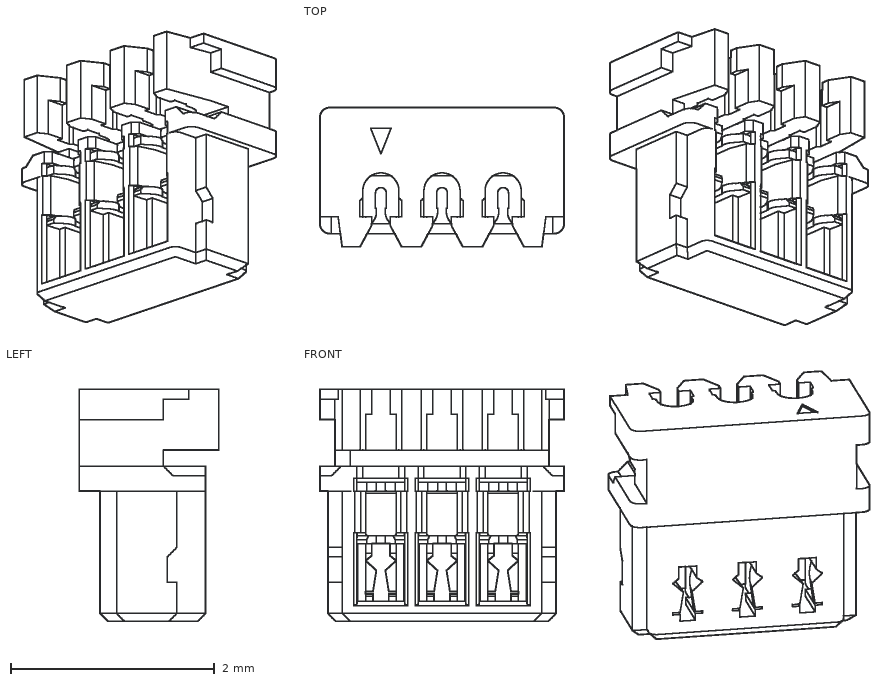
import cadquery as cq


length = 2.4
depth = 1.37
height = 2.28
port_pitch = 0.6
port_count = 3

chamfer_base = 0.077
flange_bottom = 1.277
flange_top = 1.525
prong_bottom = 1.68
ledge_bottom = 1.98
lip_bottom = 2.18

body_front = 0.13
body_back = 1.166
neck_front = 0.545
lip_front = 0.295

half_length = length / 2
neck_half = 1.05
body_half = 0.977
rib_half = 1.12

flange_radius = 0.1
body_radius = 0.08

rib_front = 0.413
rib_back = 1.003
notch_depth = 0.094
notch_bottom = 0.382
notch_slope_bottom = 0.63
notch_top = notch_slope_bottom + notch_depth

pocket_drop = 0.095
pocket_half = 0.99

gap_wall_edge = -0.9
gap_back = 0.792

prong_outer_tip = 0.982
slot_half = 0.178
slot_arc_centre = 0.55
tab_half = 0.206
tab_back = 0.454
throat_half = 0.09
throat_front = 0.21
prong_mouth_half = 0.205
relief_half = 0.15
relief_top = 2.033

window_half = 0.265
pocket_wall_half = 0.235
pocket_end_half = 0.225
pocket_end = 0.335
shelf_gap_end = 0.265
frame_back = 0.165
floor_front = 0.15
floor_level = 0.2
floor_slope_back = 0.225
window_top = 0.87
cavity_half = 0.15
channel_mouth_half = 0.255
channel_half = 0.197
channel_taper_back = 0.38
cavity_back = 0.698
root_radius = 0.02

lower_shelf = (0.763, 0.84)
upper_shelf = (flange_bottom, 1.365)
shelf_bevel = 0.038
shelf_bevel_run = 0.025
upper_pocket_top = 1.405
upper_pocket_back = 0.732
groove_depth = 0.015
shelf_slot_half = 0.053
shelf_slot_back = 0.583
shelf_slot_step = 0.38
shelf_neck_half = 0.043
shelf_neck_front = 0.343
shelf_flare_half = 0.072
shelf_flare_back = 0.257
shelf_mouth_half = 0.14

jamb_half = 0.09
jamb_bottom = 0.643
jamb_bevel_top = 0.667
fin_top = 0.595
fin_peak_half = 0.043
fin_peak = 0.5
fin_bottom = 0.29
fin_foot_half = 0.077
fin_bulge_across = 0.3
fin_bulge_along = 0.45
foot_top = 0.27
foot_face_top = 0.247
foot_overhang = 0.01

mark_half_width = 0.1
mark_base = 1.166
mark_tip = 0.915
mark_depth = 0.02


def block(x0, x1, y0, y1, z0, z1):
    return cq.Workplane("XY").box(x1 - x0, y1 - y0, z1 - z0, centered=False).translate((x0, y0, z0))


def wide_block(half, y0, y1, z0, z1):
    return block(-half, half, y0, y1, z0, z1)


def plan_prism(points, z0, z1):
    return cq.Workplane("XY").workplane(offset=z0).polyline(points).close().extrude(z1 - z0)


def mirrored_plan(right_side, z0, z1):
    """Prism of a plan outline given by its +X points and mirrored across X = 0."""
    left_side = [(-x, y) for x, y in reversed(right_side)]
    return plan_prism(right_side + left_side, z0, z1)


def side_prism(points, x0, x1):
    """Prism along X of an outline given as (Y, Z) points."""
    return cq.Workplane("YZ").workplane(offset=x0).polyline(points).close().extrude(x1 - x0)


def front_prism(points, y0, y1):
    """Prism along Y of an outline given as (X, Z) points."""
    return cq.Workplane("XZ").workplane(offset=-y1).polyline(points).close().extrude(y1 - y0)


def both_sides(shape):
    return shape.union(shape.mirror("YZ"))


def body():
    core = wide_block(body_half, body_front, body_back, 0, flange_bottom)
    core = core.edges("|Z").fillet(body_radius).faces("<Z").chamfer(chamfer_base)
    ribs = wide_block(rib_half, rib_front, rib_back, 0, flange_bottom).faces("<Z").chamfer(chamfer_base)
    notch = side_prism(
        [
            (rib_front, notch_bottom),
            (rib_front + notch_depth, notch_bottom),
            (rib_front + notch_depth, notch_slope_bottom),
            (rib_front, notch_top),
        ],
        body_half,
        rib_half,
    )
    return core.union(ribs.cut(both_sides(notch)))


def flange():
    plate = wide_block(half_length, body_front, depth, flange_bottom, flange_top)
    plate = plate.edges("|Z").fillet(flange_radius)
    pocket_floor = flange_top - pocket_drop
    across = [
        (pocket_half, flange_top),
        (pocket_half + pocket_drop, pocket_floor),
        (half_length, pocket_floor),
        (half_length, flange_top),
    ]
    along = [
        (body_front, flange_top),
        (body_front, pocket_floor),
        (neck_front - pocket_drop, pocket_floor),
        (neck_front, flange_top),
    ]
    pocket = front_prism(across, body_front, neck_front)
    pocket = pocket.intersect(side_prism(along, pocket_half, half_length))
    return plate.cut(both_sides(pocket))


def head():
    neck = wide_block(neck_half, neck_front, depth, flange_top, ledge_bottom)
    ledge = wide_block(half_length, neck_front, depth, ledge_bottom, height)
    ledge = ledge.edges("|Z and >Y").fillet(flange_radius)
    lip = wide_block(half_length, lip_front, neck_front, lip_bottom, height)
    prongs = mirrored_plan([(prong_outer_tip, 0), (neck_half, neck_front)], prong_bottom, height)
    gap = block(gap_wall_edge, neck_half, neck_front, gap_back, flange_top, prong_bottom)
    return neck.cut(gap).union(ledge).union(lip).union(prongs)


def arched_slot(half, y_front, y_centre, z0, z1):
    """Straight slot whose back end is a full round about y_centre."""
    straight = wide_block(half, y_front, y_centre, z0, z1)
    arch = cq.Workplane("XY").workplane(offset=z0).center(0, y_centre).circle(half).extrude(z1 - z0)
    return straight.union(arch)


def wire_slot():
    """Wire entry between two prongs, continued down through the flange."""
    slot = arched_slot(slot_half, lip_front, slot_arc_centre, prong_bottom, height)
    tab_bevel = tab_half - slot_half
    tabs = [(tab_half, lip_front), (tab_half, tab_back), (slot_half, tab_back + tab_bevel)]
    throat = [(prong_mouth_half, 0), (throat_half, throat_front), (throat_half, lip_front)]
    slot = slot.union(mirrored_plan(tabs, prong_bottom, height))
    slot = slot.union(mirrored_plan(throat, prong_bottom, height))
    slot = slot.union(wide_block(relief_half, 0, lip_front, prong_bottom, relief_top))

    entry_bevel = pocket_wall_half - slot_half
    entry = [(pocket_wall_half, body_front), (slot_half, body_front + entry_bevel)]
    slot = slot.union(mirrored_plan(entry, upper_pocket_top, flange_top))
    entry_back = body_front + entry_bevel
    return slot.union(arched_slot(slot_half, entry_back, slot_arc_centre, upper_pocket_top, flange_top))


def shelf_slot(z0, z1):
    """Slot through a shelf: round back, narrow neck and flared mouth."""
    back = arched_slot(shelf_slot_half, shelf_slot_step, shelf_slot_back - shelf_slot_half, z0, z1)
    flare_run = (shelf_mouth_half - shelf_flare_half, frame_back - shelf_flare_back)
    flare = (
        cq.Workplane("XY")
        .workplane(offset=z0)
        .moveTo(0, shelf_slot_step)
        .lineTo(shelf_neck_half, shelf_slot_step)
        .lineTo(shelf_neck_half, shelf_neck_front)
        .tangentArcPoint((shelf_flare_half, shelf_flare_back), relative=False)
        .line(*flare_run)
        .lineTo(0, frame_back)
        .close()
        .extrude(z1 - z0)
    )
    return back.union(both_sides(flare))


def shelf(levels, y_back):
    """Slotted shelf plate reaching from the frame back to y_back."""
    return wide_block(pocket_wall_half, frame_back, y_back, *levels).cut(shelf_slot(*levels))


def bevelled_lower_shelf():
    """Lower shelf with its front top edge bevelled."""
    top = lower_shelf[1]
    bevel = [(frame_back, top), (frame_back, top - shelf_bevel), (frame_back + shelf_bevel_run, top)]
    plate = shelf(lower_shelf, pocket_end)
    return plate.cut(side_prism(bevel, -pocket_wall_half, pocket_wall_half))


def upper_pocket():
    """Shallow pocket above the upper shelf, open at the front."""
    frame = [(window_half, body_front), (pocket_wall_half, frame_back)]
    pocket = mirrored_plan(frame, flange_bottom, upper_pocket_top)
    pocket = pocket.union(
        wide_block(pocket_wall_half, frame_back, cavity_back, flange_bottom, upper_pocket_top)
    )
    shelf_top = upper_shelf[1]
    rear = [
        (cavity_back, upper_pocket_top),
        (cavity_back, shelf_top),
        (upper_pocket_back, shelf_top - groove_depth),
        (upper_pocket_back, upper_pocket_top),
    ]
    pocket = pocket.union(side_prism(rear, -pocket_wall_half, pocket_wall_half))
    return pocket.cut(shelf(upper_shelf, cavity_back))


def channel():
    """Tapered channel between the two shelves."""
    bottom = lower_shelf[1]
    mouth_back = body_front + channel_mouth_half - channel_half
    walls = [
        (channel_mouth_half, body_front),
        (channel_half, mouth_back),
        (cavity_half, channel_taper_back),
    ]
    sides = mirrored_plan(walls, window_top, flange_bottom)
    rear = wide_block(cavity_half, shelf_gap_end, cavity_back, bottom, flange_bottom)
    rear = rear.faces(">Z").edges(">Y").chamfer(root_radius)
    rear = rear.faces("<Z").edges("|Y or >Y").fillet(root_radius)
    return sides.union(rear)


def lower_cavity():
    """Framed window with a sloping sill and a narrower passage to the back."""
    walls = [
        (window_half, body_front),
        (pocket_wall_half, frame_back),
        (pocket_end_half, pocket_end),
    ]
    window = mirrored_plan(walls, floor_front, window_top)
    sill = [
        (body_front, floor_front),
        (floor_slope_back, floor_level),
        (pocket_end, floor_level),
        (pocket_end, floor_front),
    ]
    window = window.cut(side_prism(sill, -window_half, window_half))
    top_land = wide_block(pocket_wall_half, shelf_gap_end, pocket_end, lower_shelf[1], window_top)
    window = window.cut(top_land)
    passage = wide_block(cavity_half, pocket_end, body_back, floor_level, lower_shelf[0])
    return window.cut(bevelled_lower_shelf()).union(passage).union(shelf_slot(*lower_shelf))


def jamb():
    """Upper corner block of the keyhole, with its lower front edge sloped."""
    outline = [
        (cavity_half, lower_shelf[0]),
        (jamb_half, lower_shelf[0]),
        (jamb_half, jamb_bottom),
        (cavity_half, fin_top),
    ]
    side = [
        (cavity_back, lower_shelf[0]),
        (cavity_back, jamb_bevel_top),
        (cavity_back + jamb_bevel_top - fin_top, fin_top),
        (body_back, fin_top),
        (body_back, lower_shelf[0]),
    ]
    return front_prism(outline, cavity_back, body_back).intersect(side_prism(side, 0, cavity_half))


def fin_section(plane, inner_half):
    """Add one plan section of a fin: an arc from the cavity wall in to inner_half at the back."""
    bulge_x = inner_half + fin_bulge_across * (cavity_half - inner_half)
    bulge_y = cavity_back + fin_bulge_along * (body_back - cavity_back)
    return (
        plane.moveTo(cavity_half, cavity_back)
        .threePointArc((bulge_x, bulge_y), (inner_half, body_back))
        .lineTo(cavity_half, body_back)
        .close()
    )


def fin():
    """Tapered guide fin: flared in plan, narrowing towards its foot."""
    outline = [
        (cavity_half, fin_top),
        (fin_peak_half, fin_peak),
        (fin_foot_half, fin_bottom),
        (cavity_half, fin_bottom),
    ]
    lean = (fin_foot_half - fin_peak_half) / (fin_peak - fin_bottom)
    top_half = fin_foot_half - lean * (fin_top - fin_bottom)

    flare = fin_section(cq.Workplane("XY").workplane(offset=fin_bottom), fin_foot_half)
    flare = fin_section(flare.workplane(offset=fin_top - fin_bottom), top_half).loft(ruled=True)
    return front_prism(outline, cavity_back, body_back).intersect(flare)


def foot():
    """Lower corner block of the keyhole with a slight overhang at its top."""
    side = [
        (cavity_back, floor_level),
        (cavity_back, foot_face_top),
        (cavity_back - foot_overhang, foot_top),
        (body_back, foot_top),
        (body_back, floor_level),
    ]
    return side_prism(side, fin_foot_half, cavity_half)


def port():
    """Everything removed for one terminal position, centred on X = 0."""
    keyhole_edges = both_sides(jamb().union(fin()).union(foot()))
    cavity = lower_cavity().cut(keyhole_edges)
    return wire_slot().union(upper_pocket()).union(channel()).union(cavity)


def pin_mark(x):
    triangle = [(x - mark_half_width, mark_base), (x + mark_half_width, mark_base), (x, mark_tip)]
    return plan_prism(triangle, height - mark_depth, height)


first_port = -port_pitch * (port_count - 1) / 2

result = body().union(flange()).union(head())
port_cut = port()
for index in range(port_count):
    result = result.cut(port_cut.translate((first_port + index * port_pitch, 0, 0)))
result = result.cut(pin_mark(first_port))